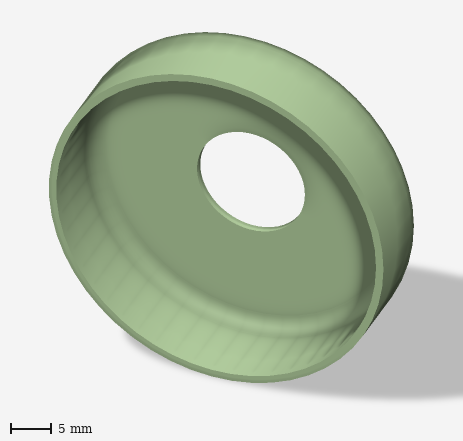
import cadquery as cq

outer_diameter = 45.0
depth = 12.0
sheet_thickness = 1.0
outer_corner_radius = 3.0
hole_diameter = 14.5

inner_diameter = outer_diameter - 2 * sheet_thickness
inner_corner_radius = outer_corner_radius - sheet_thickness
inner_depth = depth - sheet_thickness


def rounded_disc(diameter, height, corner_radius):
    """Disc along +Y from the open rim plane Y = 0, rounded at its far edge."""
    disc = cq.Workplane("XZ").circle(diameter / 2).extrude(-height)
    return disc.faces(">Y").edges().fillet(corner_radius)


def centre_hole():
    """Round cutter along Y that passes through the floor of the cap."""
    return cq.Workplane("XZ").circle(hole_diameter / 2).extrude(-depth)


outer_body = rounded_disc(outer_diameter, depth, outer_corner_radius)
cavity = rounded_disc(inner_diameter, inner_depth, inner_corner_radius)

result = outer_body.cut(cavity).cut(centre_hole())